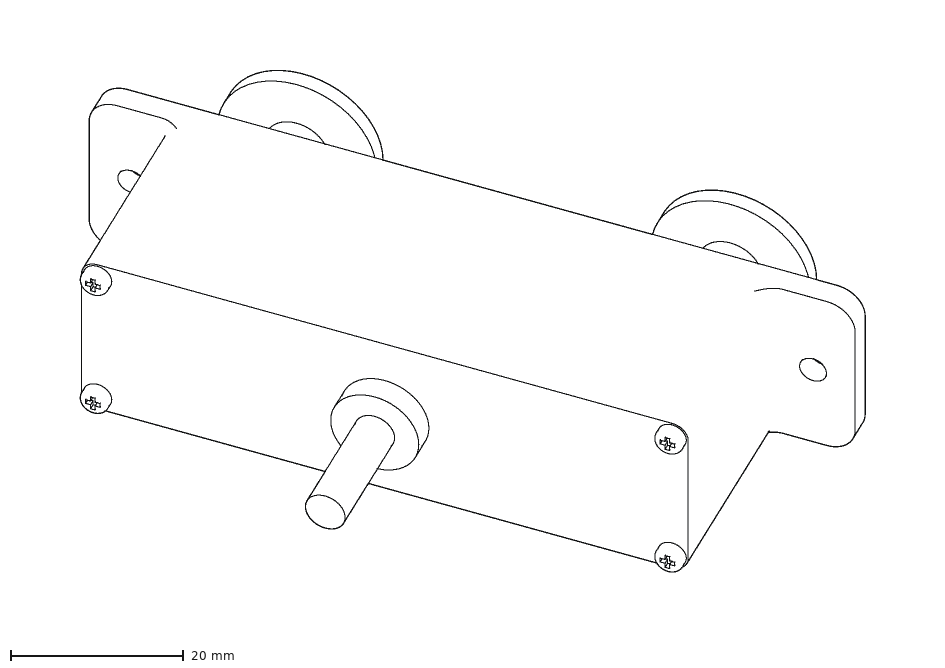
import cadquery as cq

length = 96.0
height = 22.4
housing_length = 76.0
housing_depth = 29.5
edge_radius = 2.0

flange_thickness = 3.1
flange_corner_radius = 3.6
flange_fillet = 1.5
mount_hole_diameter = 3.4
mount_hole_offset = 42.7

knob_offset = 27.2
knob_stem_diameter = 8.0
knob_stem_length = 9.5
knob_disc_diameter = 20.0
knob_disc_thickness = 2.0

hub_diameter = 11.0
hub_length = 3.1
shaft_diameter = 5.0
shaft_length = 15.0

screw_diameter = 3.6
screw_height = 1.4
screw_rounding = 0.6
recess_length = 1.8
recess_width = 0.6
recess_depth = 0.8
screw_x = housing_length / 2 - edge_radius
screw_z = height / 2 - edge_radius

front_y = -housing_depth
selection_margin = 0.1


def block(size_x, size_z, start_y, depth):
    """Block centred on the Y axis, running from start_y toward -Y."""
    return cq.Workplane("XZ", origin=(0, start_y, 0)).rect(size_x, size_z).extrude(depth)


def rod(x, z, start_y, diameter, depth):
    """Cylinder along Y; a positive depth runs toward -Y."""
    return cq.Workplane("XZ", origin=(x, start_y, z)).circle(diameter / 2).extrude(depth)


def make_housing():
    """Flange and rounded housing, joined by a fillet that is cut flush at top and bottom."""
    oversize = 2 * (edge_radius + flange_fillet)
    plate = block(length, height + oversize, 0, flange_thickness)
    box = block(housing_length, height, 0, housing_depth).edges("|Y").fillet(edge_radius)
    joint_low = (
        -housing_length / 2 - selection_margin,
        -flange_thickness - selection_margin,
        -height / 2 - selection_margin,
    )
    joint_high = (
        housing_length / 2 + selection_margin,
        -flange_thickness + selection_margin,
        height / 2 + selection_margin,
    )
    joint = cq.selectors.BoxSelector(joint_low, joint_high)
    filleted = plate.union(box).edges(joint).fillet(flange_fillet)
    outline = block(length, height, 0, housing_depth).edges("|Y").fillet(flange_corner_radius)
    return filleted.intersect(outline)


def make_knob(x):
    """Stem and disc standing off the back of the flange."""
    stem = rod(x, 0, 0, knob_stem_diameter, -knob_stem_length)
    disc = rod(x, 0, knob_stem_length, knob_disc_diameter, -knob_disc_thickness)
    return stem.union(disc)


def make_screw(x, z):
    """Round-topped screw head with a cross recess."""
    head = rod(x, z, front_y, screw_diameter, screw_height).edges("<Y").fillet(screw_rounding)
    recess_y = front_y - screw_height + recess_depth
    upright = block(recess_width, recess_length, recess_y, recess_depth)
    crossbar = block(recess_length, recess_width, recess_y, recess_depth)
    recess = upright.union(crossbar).translate((x, 0, z))
    return head.cut(recess)


result = make_housing()

for side in (-1, 1):
    result = result.cut(rod(side * mount_hole_offset, 0, 0, mount_hole_diameter, flange_thickness))
    result = result.union(make_knob(side * knob_offset))
    for level in (-1, 1):
        result = result.union(make_screw(side * screw_x, level * screw_z))

result = result.union(rod(0, 0, front_y, hub_diameter, hub_length))
result = result.union(rod(0, 0, front_y - hub_length, shaft_diameter, shaft_length))